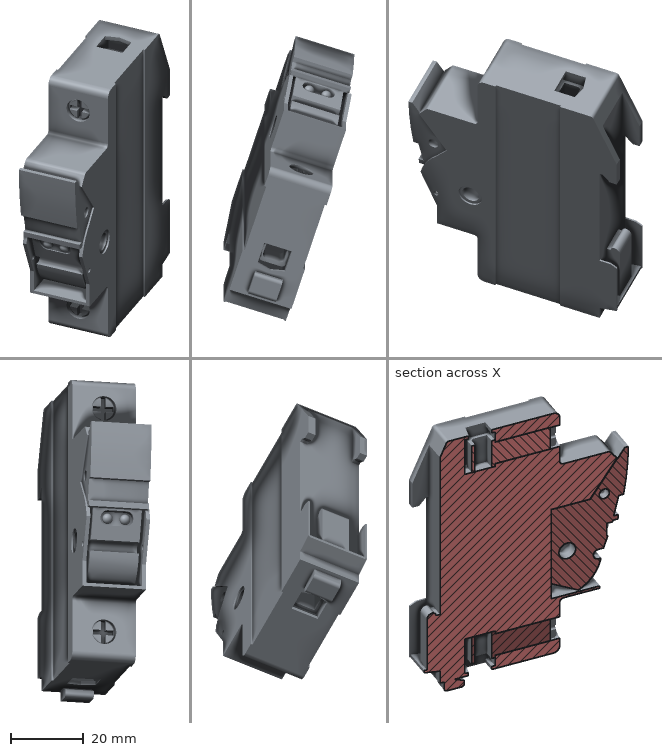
import cadquery as cq
import math


WIDTH = 18.0
HEIGHT = 79.85
HOOK_BACK_Y = 5.15
TERMINAL_FACE_Y = -36.7
TERMINAL_EDGE_RADIUS = 2.1
STEP_RADIUS = 1.1
BACK_EDGE_RADIUS = 1.1
TOP_EDGE_Y = -2.15
BACK_SLOPE_FOOT_Z = 63.8
UPPER_HOOK_Z = 55.8
UPPER_HOOK_ROOT_Z = 57.9
UPPER_HOOK_ROOT_Y = 1.0
UPPER_HOOK_LIP_Y = 3.1
LOWER_HOOK_TOP_Z = 23.0
LOWER_HOOK_TOP_EDGE_Y = 3.15
LOWER_HOOK_BACK_Z = 22.0
LOWER_HOOK_BACK_FOOT_Z = 4.9
LOWER_HOOK_ROOT_Z = 4.0
BLOCK_TOP_Z = 62.25
BLOCK_BOTTOM_Z = 17.5
BLOCK_FRONT_Y = -48.9
BLOCK_TOP_EDGE_Y = -51.9
BLOCK_TOP_EDGE_RADIUS = 1.3
NOSE_FOOT_Z = 24.65

GROOVE_DEPTH = 0.5
GROOVE_BACK_Y = -11.9
GROOVE_FRONT_Y = -31.3

PIVOT_Y = -38.9
PIVOT_Z = 32.9
PIVOT_HOLE_DIAMETER = 5.0
PIVOT_BOSS_DIAMETER = 7.0
SEAT_RADIUS = 15.3
SEAT_TOP_ANGLE = 48.0
SEAT_BOTTOM_ANGLE = 12.5
GRIP_FOOT_Z = 38.9
SEAT_CORNER = (-46.0, 47.9)
SEAT_SLOPE_TOP_Y = -54.3

POCKET_WIDTH = 15.85
POCKET_FLOOR_Z = 18.4
POCKET_BACK_Y = -34.0
LATCH_HOLE_DIAMETER = 1.5
LATCH_HOLE_Y = -49.2
LATCH_HOLE_Z = 29.4

HOOK_CUT_WIDTH = 13.7
HOOK_MIDDLE_BACK_Y = 4.9
LOWER_HOOK_POCKET_WIDTH = WIDTH - 2 * GROOVE_DEPTH
HOOK_FLOOR_THICKNESS = 1.0
LATCH_WIDTH = 8.05
LATCH_NOSE_RADIUS = 1.8
LATCH_BACK_Y = 4.0
LATCH_NOSE_Z = 22.3
LATCH_FRONT_Y = 1.1
LATCH_FRONT_CURVE = (1.5, 23.7)
FOOT_DEPTH = 3.15
FOOT_BACK_Y = -1.25
FOOT_FRONT_Y = -7.55
FOOT_RADIUS = 1.0
FOOT_SLOPE_TOP_Y = -4.8
FOOT_SLOPE_DROP = 1.1

SCREW_INSET = 8.05
SCREW_HEIGHTS = (SCREW_INSET, HEIGHT - SCREW_INSET)
SCREW_DIAMETER = 7.0
SCREW_CHAMFER = 0.5
SCREW_RECESS = 0.8
CROSS_WIDTH = 1.4
CROSS_DEPTH = 2.1
CROSS_SHORT_LENGTH = SCREW_DIAMETER - 2 * SCREW_CHAMFER
WIRE_WIDTH = 8.0
WIRE_FRONT_Y = -15.8
WIRE_SHOULDER_Y = -9.7
WIRE_APEX_Y = -8.8
WIRE_ENTRY_DEPTH = 1.2
CAVITY_BACK_Y = -7.6
CAGE_HALF_HEIGHT = 4.4
CAGE_FRONT_Y = -16.8
CAGE_BACK_Y = -9.7
CAGE_RADIUS = 1.4
CLAMP_WIDTH = 6.1
CLAMP_BACK_Y = -10.8
CLAMP_RADIUS = 1.0

GRIP_WIDTH = WIDTH - 2 * GROOVE_DEPTH
CARRIER_WIDTH = 13.8
GRIP_HOLE_DIAMETER = 3.0
GRIP_HOLE_Y = -50.2
GRIP_HOLE_Z = 48.55
GRIP_TIP_Y = -57.7
GRIP_TIP_BACK_Y = -56.5
GRIP_FRONT_CURVE = (-57.3, 54.7)
GRIP_STEP_Z = 46.65
GRIP_STEP_FRONT_Y = -56.2
GRIP_STEP_BACK_Y = -54.7
LIP_TOP_Z = 40.5
LIP_ROOT_Y = -53.2
LIP_TOP_FRONT_Y = -54.6
LIP_FOOT_FRONT_Y = -54.45
SHELF_Z = 27.55
SHELF_TIP_Y = -49.3
SHELF_ROOT_Y = -48.5
GROOVE_RADIUS = 1.5
PANEL_FOOT_Y = -50.05
DRUM_Y = -37.35
DRUM_Z = 29.9
DRUM_BOTTOM_Z = 18.75
CARRIER_BACK_FOOT_Z = 23.2

LAMP_DIAMETER = 3.0
LAMP_SPACING = 5.0
LAMP_Z = 36.4
LAMP_SLOT_LENGTH = 9.3
LAMP_SLOT_HEIGHT = 4.0
LAMP_FLOOR_Y = -51.05


def seat_point(angle):
    """The (Y, Z) point of the round carrier seat, at an angle above the -Y direction."""
    turn = math.radians(angle)
    return (PIVOT_Y - SEAT_RADIUS * math.cos(turn), PIVOT_Z + SEAT_RADIUS * math.sin(turn))


SEAT_SLOPE = (BLOCK_TOP_Z - SEAT_CORNER[1]) / (GRIP_TIP_BACK_Y - SEAT_CORNER[0])
SEAT_SLOPE_TOP = (SEAT_SLOPE_TOP_Y, SEAT_CORNER[1] + SEAT_SLOPE * (SEAT_SLOPE_TOP_Y - SEAT_CORNER[0]))

GRIP_FOOT_ANGLE = math.degrees(math.asin((GRIP_FOOT_Z - PIVOT_Z) / SEAT_RADIUS))
GRIP_FOOT = seat_point(GRIP_FOOT_ANGLE)
GRIP_SEAT_MIDDLE = seat_point((SEAT_TOP_ANGLE + GRIP_FOOT_ANGLE) / 2)


def across(sketch, width):
    """Extrude a YZ outline to a width centred on X = 0."""
    return sketch.extrude(width / 2, both=True)


def cross_rod(diameter, y, z, length):
    """A round rod along X, centred on X = 0."""
    return across(cq.Workplane("YZ").center(y, z).circle(diameter / 2), length)


def box_between(width, y_range, z_range):
    """A box centred on X = 0 that spans the given Y and Z ranges."""
    (y0, y1), (z0, z1) = y_range, z_range
    return cq.Workplane("XY").box(width, y1 - y0, z1 - z0).translate((0, (y0 + y1) / 2, (z0 + z1) / 2))


def round_edge(body, y, z, radius):
    """Fillet the edges along X that pass through the point (y, z)."""
    reach = 0.04
    near = cq.selectors.BoxSelector((-WIDTH, y - reach, z - reach), (WIDTH, y + reach, z + reach))
    return body.edges("|X").edges(near).fillet(radius)



def housing_shell():
    middle_angle = (SEAT_TOP_ANGLE + SEAT_BOTTOM_ANGLE) / 2
    shell = across(
        cq.Workplane("YZ")
        .moveTo(0, 0)
        .lineTo(0, LOWER_HOOK_ROOT_Z)
        .lineTo(HOOK_BACK_Y, LOWER_HOOK_BACK_FOOT_Z)
        .lineTo(HOOK_BACK_Y, LOWER_HOOK_BACK_Z)
        .lineTo(LOWER_HOOK_TOP_EDGE_Y, LOWER_HOOK_TOP_Z)
        .lineTo(0, LOWER_HOOK_TOP_Z)
        .lineTo(0, UPPER_HOOK_ROOT_Z)
        .lineTo(UPPER_HOOK_ROOT_Y, UPPER_HOOK_ROOT_Z)
        .lineTo(UPPER_HOOK_LIP_Y, UPPER_HOOK_Z)
        .lineTo(HOOK_BACK_Y, UPPER_HOOK_Z)
        .lineTo(HOOK_BACK_Y, BACK_SLOPE_FOOT_Z)
        .lineTo(TOP_EDGE_Y, HEIGHT)
        .lineTo(TERMINAL_FACE_Y, HEIGHT)
        .lineTo(TERMINAL_FACE_Y, BLOCK_TOP_Z)
        .lineTo(BLOCK_TOP_EDGE_Y, BLOCK_TOP_Z)
        .lineTo(*SEAT_SLOPE_TOP)
        .lineTo(*SEAT_CORNER)
        .lineTo(*seat_point(SEAT_TOP_ANGLE))
        .threePointArc(seat_point(middle_angle), seat_point(SEAT_BOTTOM_ANGLE))
        .lineTo(BLOCK_FRONT_Y, NOSE_FOOT_Z)
        .lineTo(BLOCK_FRONT_Y, BLOCK_BOTTOM_Z)
        .lineTo(TERMINAL_FACE_Y, BLOCK_BOTTOM_Z)
        .lineTo(TERMINAL_FACE_Y, 0)
        .close(),
        WIDTH,
    )
    shell = round_edge(shell, TOP_EDGE_Y, HEIGHT, BACK_EDGE_RADIUS)
    shell = round_edge(shell, BLOCK_TOP_EDGE_Y, BLOCK_TOP_Z, BLOCK_TOP_EDGE_RADIUS)
    for z in (0, HEIGHT):
        shell = round_edge(shell, TERMINAL_FACE_Y, z, TERMINAL_EDGE_RADIUS)
    for z in (BLOCK_BOTTOM_Z, BLOCK_TOP_Z):
        shell = round_edge(shell, TERMINAL_FACE_Y, z, STEP_RADIUS)
    return shell


def cut_side_grooves(body):
    for side in (-1, 1):
        groove = box_between(2 * GROOVE_DEPTH, (GROOVE_FRONT_Y, GROOVE_BACK_Y), (0, HEIGHT))
        body = body.cut(groove.translate((side * WIDTH / 2, 0, 0)))
    return body


def cut_carrier_pocket(body):
    pocket = box_between(POCKET_WIDTH, (GRIP_TIP_Y, POCKET_BACK_Y), (POCKET_FLOOR_Z, SEAT_CORNER[1]))
    body = body.cut(pocket)
    body = body.cut(cross_rod(PIVOT_BOSS_DIAMETER, PIVOT_Y, PIVOT_Z, WIDTH))
    return body.cut(cross_rod(LATCH_HOLE_DIAMETER, LATCH_HOLE_Y, LATCH_HOLE_Z, WIDTH))


def cut_hook_middles(body):
    """Open the middle of both rail hooks; the lower one keeps a floor parallel to its underside."""
    upper = box_between(HOOK_CUT_WIDTH, (0, HOOK_BACK_Y), (UPPER_HOOK_Z, HEIGHT))
    lower = across(
        cq.Workplane("YZ")
        .moveTo(0, LOWER_HOOK_TOP_Z)
        .lineTo(0, LOWER_HOOK_ROOT_Z + HOOK_FLOOR_THICKNESS)
        .lineTo(HOOK_MIDDLE_BACK_Y, LOWER_HOOK_BACK_FOOT_Z + HOOK_FLOOR_THICKNESS)
        .lineTo(HOOK_MIDDLE_BACK_Y, 0)
        .lineTo(HOOK_BACK_Y, 0)
        .lineTo(HOOK_BACK_Y, LOWER_HOOK_TOP_Z)
        .close(),
        LOWER_HOOK_POCKET_WIDTH,
    )
    return body.cut(upper).cut(lower)


def rail_latch():
    """The round-nosed latch that stands on the floor of the lower hook."""
    nose_y = LATCH_BACK_Y - LATCH_NOSE_RADIUS
    nose_reach = LATCH_NOSE_RADIUS * math.sqrt(0.5)
    return across(
        cq.Workplane("YZ")
        .moveTo(0, LOWER_HOOK_ROOT_Z)
        .lineTo(0, LOWER_HOOK_TOP_Z)
        .lineTo(LATCH_FRONT_Y, LOWER_HOOK_TOP_Z)
        .threePointArc(LATCH_FRONT_CURVE, (nose_y, LATCH_NOSE_Z + LATCH_NOSE_RADIUS))
        .threePointArc((nose_y + nose_reach, LATCH_NOSE_Z + nose_reach), (LATCH_BACK_Y, LATCH_NOSE_Z))
        .lineTo(LATCH_BACK_Y, LOWER_HOOK_BACK_FOOT_Z)
        .close(),
        LATCH_WIDTH,
    )


def rail_foot():
    """The pull foot under the housing, with a sloped top at its front."""
    foot = across(
        cq.Workplane("YZ")
        .moveTo(FOOT_BACK_Y, 0)
        .lineTo(FOOT_BACK_Y, -FOOT_DEPTH)
        .lineTo(FOOT_FRONT_Y, -FOOT_DEPTH)
        .lineTo(FOOT_FRONT_Y, -FOOT_SLOPE_DROP)
        .lineTo(FOOT_SLOPE_TOP_Y, 0)
        .close(),
        LATCH_WIDTH,
    )
    for y in (FOOT_BACK_Y, FOOT_FRONT_Y):
        foot = round_edge(foot, y, -FOOT_DEPTH, FOOT_RADIUS)
    return foot


def terminal_opening():
    """The wire entry in the top of the housing, and the wider cavity under it for the terminal cage."""
    half = WIRE_WIDTH / 2
    entry = (
        cq.Workplane("XY", origin=(0, 0, HEIGHT))
        .moveTo(-half, WIRE_FRONT_Y)
        .lineTo(half, WIRE_FRONT_Y)
        .lineTo(half, WIRE_SHOULDER_Y)
        .lineTo(0, WIRE_APEX_Y)
        .lineTo(-half, WIRE_SHOULDER_Y)
        .close()
        .extrude(-WIRE_ENTRY_DEPTH)
    )
    cavity_floor_z = HEIGHT - SCREW_INSET - CAGE_HALF_HEIGHT
    cavity = box_between(
        WIRE_WIDTH,
        (CAGE_FRONT_Y, CAVITY_BACK_Y),
        (cavity_floor_z, HEIGHT - WIRE_ENTRY_DEPTH),
    )
    return entry.union(cavity)


def front_rod(diameter, z, front_y, length):
    """A round rod along Y that starts at front_y and goes toward +Y."""
    return cq.Workplane("XZ", origin=(0, front_y, z)).circle(diameter / 2).extrude(-length)


def cut_terminals(body):
    """The lower terminal mirrors the upper one about the middle of the housing."""
    opening = terminal_opening()
    body = body.cut(opening)
    body = body.cut(opening.mirror("XY", (0, 0, HEIGHT / 2)))
    for z in SCREW_HEIGHTS:
        body = body.cut(front_rod(SCREW_DIAMETER, z, TERMINAL_FACE_Y, CAGE_FRONT_Y - TERMINAL_FACE_Y))
    return body


def make_housing():
    body = cut_side_grooves(housing_shell())
    body = cut_carrier_pocket(body)
    body = cut_hook_middles(body)
    body = cut_terminals(body)
    return body.union(rail_latch()).union(rail_foot())



def terminal_screw(z):
    """A chamfered, cross-slotted screw that reaches back to the cage."""
    head_y = TERMINAL_FACE_Y + SCREW_RECESS
    screw = front_rod(SCREW_DIAMETER, z, head_y, CAGE_FRONT_Y - head_y)
    screw = screw.faces("<Y").chamfer(SCREW_CHAMFER)
    cross = cq.Workplane("XZ", origin=(0, head_y, z))
    screw = screw.cut(cross.rect(CROSS_WIDTH, SCREW_DIAMETER).extrude(-CROSS_DEPTH))
    return screw.cut(cross.rect(CROSS_SHORT_LENGTH, CROSS_WIDTH).extrude(-CROSS_DEPTH))


def terminal_cage(z):
    """The clamp box around the wire, open at its top and bottom."""
    z_range = (z - CAGE_HALF_HEIGHT, z + CAGE_HALF_HEIGHT)
    cage = box_between(WIRE_WIDTH, (CAGE_FRONT_Y, CAGE_BACK_Y), z_range)
    cage = cage.edges("|Z and >Y").fillet(CAGE_RADIUS)
    clamp = box_between(CLAMP_WIDTH, (WIRE_FRONT_Y, CLAMP_BACK_Y), z_range)
    return cage.cut(clamp.edges("|Z and >Y").fillet(CLAMP_RADIUS))


def make_terminal(z):
    return terminal_screw(z).union(terminal_cage(z))



def carrier_grip():
    return across(
        cq.Workplane("YZ")
        .moveTo(*SEAT_CORNER)
        .lineTo(GRIP_TIP_BACK_Y, BLOCK_TOP_Z)
        .lineTo(GRIP_TIP_Y, BLOCK_TOP_Z)
        .threePointArc(GRIP_FRONT_CURVE, (GRIP_STEP_FRONT_Y, GRIP_STEP_Z))
        .lineTo(GRIP_STEP_BACK_Y, GRIP_STEP_Z)
        .lineTo(LIP_ROOT_Y, LIP_TOP_Z)
        .lineTo(LIP_TOP_FRONT_Y, LIP_TOP_Z)
        .lineTo(LIP_FOOT_FRONT_Y, GRIP_FOOT_Z)
        .lineTo(*GRIP_FOOT)
        .threePointArc(GRIP_SEAT_MIDDLE, seat_point(SEAT_TOP_ANGLE))
        .close(),
        GRIP_WIDTH,
    )


def drum_arc():
    """The (Y, Z) middle and foot of the drum's arc, which starts at the tip of the shelf."""
    radius = math.hypot(DRUM_Y - SHELF_TIP_Y, DRUM_Z - SHELF_Z)
    tip_angle = math.asin((DRUM_Z - SHELF_Z) / radius)
    foot_angle = math.asin((DRUM_Z - DRUM_BOTTOM_Z) / radius)
    middle_angle = (tip_angle + foot_angle) / 2
    middle = (DRUM_Y - radius * math.cos(middle_angle), DRUM_Z - radius * math.sin(middle_angle))
    foot = (DRUM_Y - radius * math.cos(foot_angle), DRUM_BOTTOM_Z)
    return middle, foot


def carrier_body():
    """The block behind the grip: lamp panel, round groove over the shelf, and drum below it."""
    groove_top_z = SHELF_Z + 2 * GROOVE_RADIUS
    return across(
        cq.Workplane("YZ")
        .moveTo(*GRIP_FOOT)
        .lineTo(PANEL_FOOT_Y, groove_top_z)
        .lineTo(SHELF_ROOT_Y, groove_top_z)
        .threePointArc((SHELF_ROOT_Y + GROOVE_RADIUS, SHELF_Z + GROOVE_RADIUS), (SHELF_ROOT_Y, SHELF_Z))
        .lineTo(SHELF_TIP_Y, SHELF_Z)
        .threePointArc(*drum_arc())
        .lineTo(POCKET_BACK_Y, CARRIER_BACK_FOOT_Z)
        .lineTo(POCKET_BACK_Y, SEAT_CORNER[1])
        .lineTo(*SEAT_CORNER)
        .lineTo(*seat_point(SEAT_TOP_ANGLE))
        .threePointArc(GRIP_SEAT_MIDDLE, GRIP_FOOT)
        .close(),
        CARRIER_WIDTH,
    )


def add_lamps(body):
    """A slot in the lamp panel with two domed lamps on its flat floor."""
    floor = cq.Workplane("XZ", origin=(0, LAMP_FLOOR_Y, LAMP_Z))
    slot = floor.slot2D(LAMP_SLOT_LENGTH, LAMP_SLOT_HEIGHT).extrude(LAMP_FLOOR_Y - GRIP_FOOT[0])
    body = body.cut(slot)
    for side in (-1, 1):
        lamp = cq.Workplane("XY").sphere(LAMP_DIAMETER / 2)
        body = body.union(lamp.translate((side * LAMP_SPACING / 2, LAMP_FLOOR_Y, LAMP_Z)))
    return body


def make_carrier():
    body = add_lamps(carrier_body())
    body = body.union(carrier_grip())
    body = body.union(cross_rod(PIVOT_BOSS_DIAMETER, PIVOT_Y, PIVOT_Z, GRIP_WIDTH))
    body = body.cut(cross_rod(PIVOT_HOLE_DIAMETER, PIVOT_Y, PIVOT_Z, GRIP_WIDTH))
    return body.cut(cross_rod(GRIP_HOLE_DIAMETER, GRIP_HOLE_Y, GRIP_HOLE_Z, GRIP_WIDTH))


housing = make_housing()
carrier = make_carrier()
terminals = [make_terminal(z) for z in SCREW_HEIGHTS]

result = cq.Compound.makeCompound(
    [housing.val(), carrier.val(), *[terminal.val() for terminal in terminals]]
)